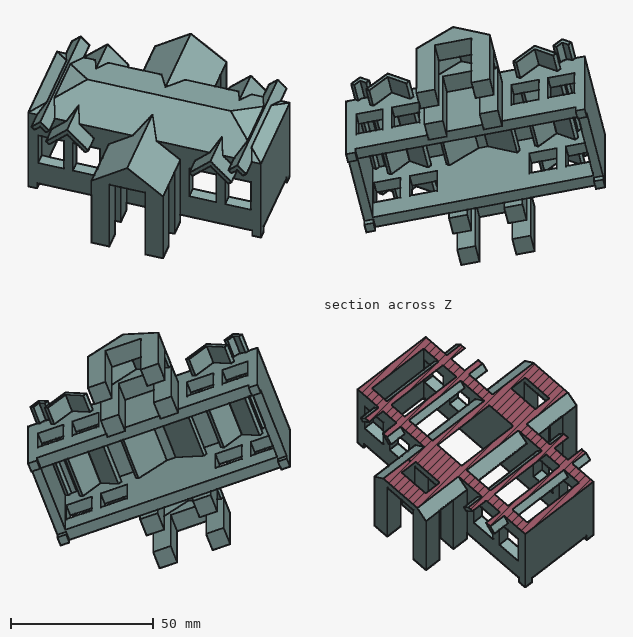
import cadquery as cq
import math

house_length = 85.55
grid = house_length / 26
house_depth = 10 * grid
total_height = 42.2

feet_bottom = 0.85
wall_bottom = 3.3
eave_height = 11 * grid
front_wall_thickness = 4.1
end_wall_thickness = grid
foot_size = grid
ridge_half_length = 8 * grid

window_bottom = 4 * grid
window_top = 8 * grid
inner_window = (5 * grid, 8 * grid)
outer_window = (9 * grid, 39.1)

porch_half_width = 4 * grid
porch_reach = 11 * grid
porch_eave = 9 * grid
porch_apex = 12 * grid
column_size = 2 * grid

plate_thickness = grid / 2
dormer_length = 14 * grid
small_dormer_x = 11 * grid
small_dormer_half_width = grid
small_dormer_apex = 12 * grid
large_dormer_x = 8 * grid
large_dormer_half_width = 7.8
large_dormer_apex = 38.6


def block(x_range, y_range, z_range):
    """Box between the given limits on each axis."""
    (x0, x1), (y0, y1), (z0, z1) = x_range, y_range, z_range
    return cq.Workplane("XY").box(x1 - x0, y1 - y0, z1 - z0, centered=False).translate((x0, y0, z0))


def extrude_along_y(points, y_start, y_end):
    """Extrude a closed XZ outline from y_start to y_end."""
    plane = cq.Workplane("XZ", origin=(0, y_start, 0))
    return plane.polyline(points).close().extrude(y_start - y_end)


def folded_roof(x_middle, half_width, apex, rise, length):
    """Roof of two sloping plates with square-cut lower edges, running along Y."""
    slope = math.atan2(rise, half_width)
    edge_dx = plate_thickness * math.sin(slope)
    edge_dz = plate_thickness * math.cos(slope)
    eave = apex - rise
    outline = [
        (x_middle, apex),
        (x_middle + half_width, eave),
        (x_middle + half_width - edge_dx, eave - edge_dz),
        (x_middle, apex - plate_thickness / math.cos(slope)),
        (x_middle - half_width + edge_dx, eave - edge_dz),
        (x_middle - half_width, eave),
    ]
    return extrude_along_y(outline, -length / 2, length / 2)


def hip_roof():
    """Solid hip roof as two sloping sides cut by two sloping ends."""
    half_depth = house_depth / 2
    half_length = house_length / 2
    sides = (
        cq.Workplane("YZ", origin=(-half_length, 0, 0))
        .polyline([(-half_depth, eave_height), (half_depth, eave_height), (0, total_height)])
        .close()
        .extrude(house_length)
    )
    ends = extrude_along_y(
        [
            (-half_length, eave_height),
            (half_length, eave_height),
            (ridge_half_length, total_height),
            (-ridge_half_length, total_height),
        ],
        -half_depth,
        half_depth,
    )
    return sides.intersect(ends)


def house_walls():
    """Ring of walls, open below, with a foot under each corner and windows front and back."""
    half_length = house_length / 2
    half_depth = house_depth / 2
    inner_x = half_length - end_wall_thickness
    inner_y = half_depth - front_wall_thickness
    wall_heights = (wall_bottom, eave_height)
    walls = block((-half_length, half_length), (-half_depth, half_depth), wall_heights)
    walls = walls.cut(block((-inner_x, inner_x), (-inner_y, inner_y), wall_heights))

    foot = block(
        (half_length - foot_size, half_length),
        (half_depth - foot_size, half_depth),
        (feet_bottom, wall_bottom),
    )
    foot_pair = foot.union(foot.mirror("YZ"))
    walls = walls.union(foot_pair).union(foot_pair.mirror("XZ"))

    for x_range in (inner_window, outer_window):
        window = block(x_range, (-half_depth, half_depth), (window_bottom, window_top))
        walls = walls.cut(window).cut(window.mirror("YZ"))
    return walls


def porch_frame(y_start):
    """Gable wall one column deep, with a doorway as high as the eaves."""
    door_half_width = porch_half_width - column_size
    outline = [
        (-porch_half_width, 0),
        (-porch_half_width, porch_eave),
        (0, porch_apex),
        (porch_half_width, porch_eave),
        (porch_half_width, 0),
        (door_half_width, 0),
        (door_half_width, porch_eave),
        (-door_half_width, porch_eave),
        (-door_half_width, 0),
    ]
    return extrude_along_y(outline, y_start, y_start + column_size)


result = house_walls().union(hip_roof())

for frame_start in (house_depth / 2, porch_reach - column_size):
    frame = porch_frame(frame_start)
    result = result.union(frame).union(frame.mirror("XZ"))
porch_rise = porch_apex - porch_eave
result = result.union(folded_roof(0, porch_half_width, porch_apex, porch_rise, 2 * porch_reach))

for side in (-1, 1):
    for x_middle, half_width, apex in (
        (small_dormer_x, small_dormer_half_width, small_dormer_apex),
        (large_dormer_x, large_dormer_half_width, large_dormer_apex),
    ):
        dormer = folded_roof(side * x_middle, half_width, apex, half_width, dormer_length)
        result = result.union(dormer)